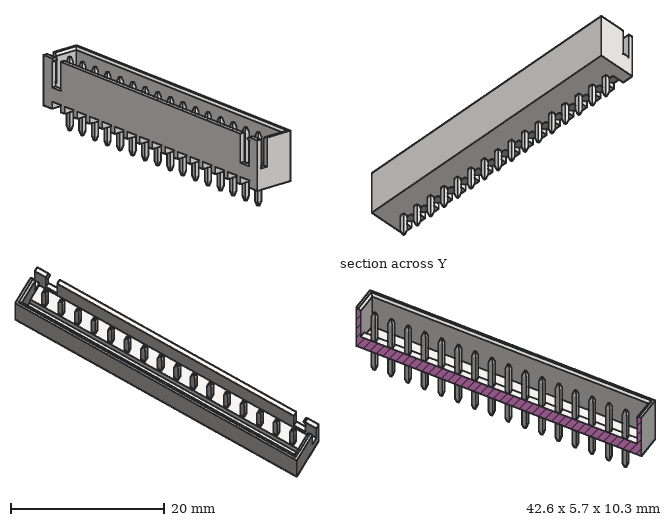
import cadquery as cq
import math

length = 42.6
depth = 5.7
height = 7.05
overall_height = 10.3
long_wall = 0.65
end_wall = 0.7
lip_chamfer = 0.35

front_floor = 2.05
rear_floor = 1.3
step_start = 2.9
step_run = 0.275

slot_width = 1.7
side_slot_width = 1.02
slot_bottom = 3.0

ridge_reach = 0.3
ridge_peak_drop = 0.25
ridge_height = 0.5

notch_height = 1.02
notch_depth = 1.87

pin_count = 16
pitch = 2.5
pin_size = 0.65
pin_y = 2.35
pin_bottom = height - overall_height
pin_top = 6.9
tip_size = 0.25
tip_length = 0.7

cavity_length = length - 2 * end_wall
cavity_depth = depth - 2 * long_wall
cavity_rear = depth - long_wall
first_pin_x = -pitch * (pin_count - 1) / 2
pin_positions = [first_pin_x + index * pitch for index in range(pin_count)]


def block(x_range, y_range, z_range):
    """Axis-aligned box given by its limits."""
    x_min, x_max = x_range
    y_min, y_max = y_range
    z_min, z_max = z_range
    corner = (x_min, y_min, z_min)
    return cq.Workplane("XY").box(x_max - x_min, y_max - y_min, z_max - z_min, centered=False).translate(corner)


def profile_along_x(points, x_center, width):
    """Prism along X from a closed outline of (y, z) points."""
    return cq.Workplane("YZ", origin=(x_center, 0, 0)).polyline(points).close().extrude(width / 2, both=True)


def make_cavity():
    """Open-topped cavity with a short steep ramp between its two floor levels."""
    outline = [
        (long_wall, height),
        (long_wall, front_floor),
        (step_start, front_floor),
        (step_start + step_run, rear_floor),
        (cavity_rear, rear_floor),
        (cavity_rear, height),
    ]
    return profile_along_x(outline, 0, cavity_length)


def make_lip_chamfer():
    """Flared mouth along the rear and end walls; the front wall stays square."""
    flare = (
        cq.Workplane("XY", origin=(0, depth / 2, height - lip_chamfer))
        .rect(cavity_length, cavity_depth)
        .workplane(offset=lip_chamfer)
        .rect(cavity_length + 2 * lip_chamfer, cavity_depth + 2 * lip_chamfer)
        .loft(ruled=True)
    )
    return flare.intersect(block((-length / 2, length / 2), (long_wall, depth), (0, height)))


def make_front_slot(x):
    """Vertical slot through the front wall."""
    return block((x - slot_width / 2, x + slot_width / 2), (0, long_wall), (slot_bottom, height))


def make_latch_ridge(x):
    """Triangular ridge at the top of a front slot, pointing from the near housing end to the middle."""
    inward = -math.copysign(1, x)
    base_x = x - inward * slot_width / 2
    outline = [
        (base_x, height),
        (base_x + inward * ridge_reach, height - ridge_peak_drop),
        (base_x, height - ridge_height),
    ]
    return cq.Workplane("XZ").polyline(outline).close().extrude(-long_wall)


def make_side_slots():
    """One cut along the inside of the front wall that opens both end walls."""
    y_range = (long_wall, long_wall + side_slot_width)
    return block((-length / 2, length / 2), y_range, (slot_bottom, height))


def make_notch(x):
    """Wedge removed from the lower front edge."""
    return profile_along_x([(0, 0), (0, notch_height), (notch_depth, 0)], x, slot_width)


def make_tip(x, base_z, direction):
    """Tapered pin end growing up (direction 1) or down (direction -1)."""
    return (
        cq.Workplane("XY", origin=(x, pin_y, base_z))
        .rect(pin_size, pin_size)
        .workplane(offset=direction * tip_length)
        .rect(tip_size, tip_size)
        .loft(ruled=True)
    )


def make_pin(x):
    """Square pin with a tapered tip at each end."""
    shaft_bottom = pin_bottom + tip_length
    shaft_top = pin_top - tip_length
    half = pin_size / 2
    shaft = block((x - half, x + half), (pin_y - half, pin_y + half), (shaft_bottom, shaft_top))
    return shaft.union(make_tip(x, shaft_top, 1)).union(make_tip(x, shaft_bottom, -1))


body = block((-length / 2, length / 2), (0, depth), (0, height))
body = body.cut(make_cavity()).cut(make_lip_chamfer()).cut(make_side_slots())
for x in (pin_positions[0], pin_positions[-1]):
    body = body.cut(make_front_slot(x)).union(make_latch_ridge(x))

for x in pin_positions:
    body = body.cut(make_notch(x))
for x in pin_positions:
    body = body.union(make_pin(x))

result = body